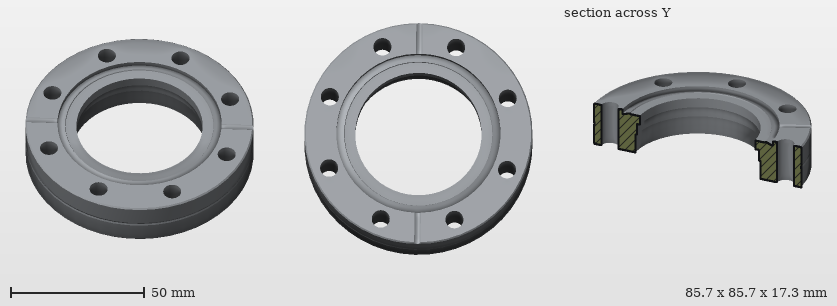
import cadquery as cq

outer_radius = 42.85
thickness = 17.3
edge_chamfer = 0.5
bottom_chamfer_inset = 0.3

rim_groove_depth = 0.25
rim_groove_half_width = 0.7
mid_height = thickness / 2

recess_radius = 30.85
recess_depth = 2.0
knife_radius = 27.9
knife_depth = 0.9
knife_inner_radius = 27.8
inner_face_depth = 1.3

bore_radius = 23.7
bore_depth = 5.1
middle_radius = 25.0
middle_depth = 9.7
socket_radius = 25.6

bolt_count = 8
bolt_circle_radius = 36.2
bolt_hole_diameter = 6.8

leak_groove_width = 2.4
leak_groove_depth = 0.5
leak_groove_angle = 180 / bolt_count


def flange_body():
    """Revolve the half section, with radius along X and height along Y."""
    section = [
        (socket_radius, 0),
        (outer_radius - bottom_chamfer_inset, 0),
        (outer_radius, edge_chamfer),
        (outer_radius, mid_height - rim_groove_half_width),
        (outer_radius - rim_groove_depth, mid_height),
        (outer_radius, mid_height + rim_groove_half_width),
        (outer_radius, thickness - edge_chamfer),
        (outer_radius - edge_chamfer, thickness),
        (recess_radius, thickness),
        (recess_radius, thickness - recess_depth),
        (knife_radius, thickness - knife_depth),
        (knife_inner_radius, thickness - inner_face_depth),
        (bore_radius, thickness - inner_face_depth),
        (bore_radius, thickness - bore_depth),
        (middle_radius, thickness - bore_depth),
        (middle_radius, thickness - middle_depth),
        (socket_radius, thickness - middle_depth),
    ]
    return cq.Workplane("XZ").polyline(section).close().revolve(360, (0, 0), (0, 1))


def bolt_holes():
    """Cylinders that cut the ring of through holes."""
    return (
        cq.Workplane("XY")
        .polarArray(bolt_circle_radius, 0, 360, bolt_count)
        .circle(bolt_hole_diameter / 2)
        .extrude(thickness)
    )


def leak_groove(angle):
    """Round-bottomed radial cutter from the gasket recess out past the rim."""
    half_width = leak_groove_width / 2
    cutter_radius = (half_width**2 + leak_groove_depth**2) / (2 * leak_groove_depth)
    axis_height = thickness - leak_groove_depth + cutter_radius
    start_radius = (recess_radius + knife_radius) / 2
    return (
        cq.Workplane("YZ", origin=(start_radius, 0, 0))
        .center(0, axis_height)
        .circle(cutter_radius)
        .extrude(outer_radius)
        .rotate((0, 0, 0), (0, 0, 1), angle)
    )


result = flange_body().cut(bolt_holes())
for half_turn in (0, 180):
    result = result.cut(leak_groove(leak_groove_angle + half_turn))